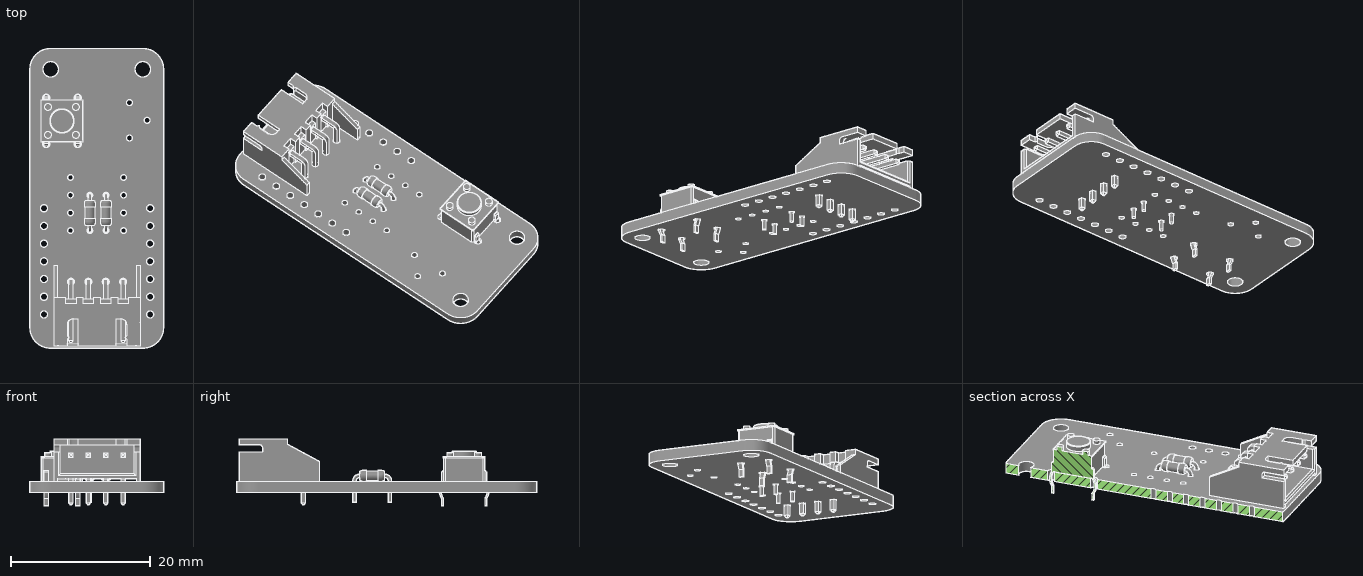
import cadquery as cq
BOARD_WIDTH = 19.2
BOARD_LENGTH = 43.0
BOARD_THICKNESS = 1.6
BOARD_CORNER_RADIUS = 3.0
BOARD_TOP = BOARD_THICKNESS
HOLE_PITCH = 2.55
LAYOUT_CENTRE_X = 0.05

MOUNT_HOLE_DIAMETER = 2.2

HEADER_HOLE_DIAMETER = 1.0
HEADER_HOLE_COUNT = 7
HEADER_ROW_X = 3 * HOLE_PITCH
HEADER_CENTRE_Y = -9.05

CHIP_HOLE_DIAMETER = 0.77
CHIP_HOLE_COUNT = 4
CHIP_ROW_X = 1.5 * HOLE_PITCH
CHIP_CENTRE_Y = -0.8

SENSOR_HOLE_DIAMETER = 0.8
SENSOR_X = 4.7
SENSOR_Y = 11.2

BUTTON_X = -5.0
BUTTON_Y = 11.1
COVER_SIDE = 6.0
BASE_SIDE = 5.95
BUTTON_HEIGHT = 3.55
BASE_CORNER_CHAMFER = 0.25
COVER_THICKNESS = 0.17
PLUNGER_DIAMETER = 3.5
PLUNGER_HEIGHT = 4.4
PLUNGER_CHAMFER = 0.1
POST_DIAMETER = 1.0
POST_HEIGHT = 4.13
POST_SPACING = 4.0
LEG_WIDTH = 0.7
LEG_THICKNESS = 0.3
LEG_OUTER_Y = 3.25
LEG_BOW_Y = 3.6
LEG_TOP = 1.55
LEG_TOP_BEVEL = 0.2
LEG_BOW_DROP = 0.8
LEG_DROP = 1.9
LEG_SPACING = 4.5
LEG_HOLE_DIAMETER = 1.0
LEG_HOLE_Y = 3.3

RESISTOR_XS = (-1.0, 1.35)
RESISTOR_Y = CHIP_CENTRE_Y - HOLE_PITCH / 2
RESISTOR_LEAD_SPACING = 2 * HOLE_PITCH
RESISTOR_LENGTH = 3.55
RESISTOR_CORE_DIAMETER = 1.4
RESISTOR_CAP_DIAMETER = 1.6
RESISTOR_AXIS_HEIGHT = 0.8
RESISTOR_CAP_LENGTH = 0.95
RESISTOR_END_DIAMETER = 1.25
RESISTOR_DOME_LENGTH = 0.45
LEAD_DIAMETER = 0.5
LEAD_BEND_RADIUS = 0.75
LEAD_DROP = 1.4
LEAD_HOLE_DIAMETER = 0.77

SHELL_WIDTH = 12.4
SHELL_HEIGHT = 6.1
SHELL_FRONT_Y = -21.15
SHELL_BACK_Y = -9.65
BLOCK_BACK_Y = -14.2
WING_BACK_HEIGHT = 2.9
WING_SLOPE_TOP = 5.35
WING_THICKNESS = 0.55
UNDERSIDE_CLEARANCE = 0.4
CAVITY_WIDTH = 10.58
CAVITY_FLOOR = 1.1
CAVITY_ROOF = 5.25
CAVITY_BACK_Y = -15.7
MOUTH_CHAMFER = 0.25
SIDE_SLOT_BOTTOM = 4.25
SIDE_SLOT_DEPTH = 3.35
SIDE_SLOT_FILLET = 0.47
ROOF_SLOT_INNER_X = 2.7
ROOF_SLOT_OUTER_X = 4.25
ROOF_SLOT_BACK_Y = -17.3
ROOF_SLOT_FILLET = 0.8
CATCH_Y = -19.95
CATCH_HALF_WIDTH = 0.25
CATCH_HEIGHT = 0.25
NOTCH_WIDTH = 1.55
NOTCH_DEPTH = 0.9
NOTCH_FLOOR = 4.5
RECESS_DEPTH = 0.25
PIN_COUNT = 4
PIN_PITCH = 2.5
PIN_SIDE = 0.65
PIN_HEIGHT = 3.8
PIN_DROP_Y = -11.95
PIN_TIP_Y = -20.7
PIN_BEND_RADIUS = 0.75
PIN_TIP_DROP = 1.75
PIN_TAPER_LENGTH = 0.3
PIN_TIP_SIDE = 0.2
PIN_HOLE_DIAMETER = 0.95


def centred_steps(count, pitch):
    """Positions of equally spaced items, centred on zero."""
    return [(index - (count - 1) / 2) * pitch for index in range(count)]


def box_between(x_range, y_range, z_range):
    """Box given by its two limits along each axis."""
    size = [high - low for low, high in (x_range, y_range, z_range)]
    corner = (x_range[0], y_range[0], z_range[0])
    return cq.Workplane("XY").box(*size, centered=False).translate(corner)


PIN_XS = centred_steps(PIN_COUNT, PIN_PITCH)


def make_board():
    mount_x = BOARD_WIDTH / 2 - BOARD_CORNER_RADIUS
    mount_y = BOARD_LENGTH / 2 - BOARD_CORNER_RADIUS
    mount_points = [(-mount_x, mount_y), (mount_x, mount_y)]
    header_points = [
        (LAYOUT_CENTRE_X + side * HEADER_ROW_X, HEADER_CENTRE_Y + step)
        for side in (-1, 1)
        for step in centred_steps(HEADER_HOLE_COUNT, HOLE_PITCH)
    ]
    chip_points = [
        (LAYOUT_CENTRE_X + side * CHIP_ROW_X, CHIP_CENTRE_Y + step)
        for side in (-1, 1)
        for step in centred_steps(CHIP_HOLE_COUNT, HOLE_PITCH)
    ]
    sensor_points = [
        (SENSOR_X, SENSOR_Y - HOLE_PITCH),
        (SENSOR_X + HOLE_PITCH, SENSOR_Y),
        (SENSOR_X, SENSOR_Y + HOLE_PITCH),
    ]
    leg_points = [
        (BUTTON_X + side * LEG_SPACING / 2, BUTTON_Y + end * LEG_HOLE_Y)
        for side in (-1, 1)
        for end in (-1, 1)
    ]
    lead_points = [
        (x, RESISTOR_Y + end * RESISTOR_LEAD_SPACING / 2)
        for x in RESISTOR_XS
        for end in (-1, 1)
    ]
    pin_points = [(LAYOUT_CENTRE_X + x, PIN_DROP_Y) for x in PIN_XS]

    board = (
        cq.Workplane("XY")
        .rect(BOARD_WIDTH, BOARD_LENGTH)
        .extrude(BOARD_THICKNESS)
        .edges("|Z")
        .fillet(BOARD_CORNER_RADIUS)
    )
    hole_groups = [
        (MOUNT_HOLE_DIAMETER, mount_points),
        (HEADER_HOLE_DIAMETER, header_points),
        (CHIP_HOLE_DIAMETER, chip_points),
        (SENSOR_HOLE_DIAMETER, sensor_points),
        (LEG_HOLE_DIAMETER, leg_points),
        (LEAD_HOLE_DIAMETER, lead_points),
        (PIN_HOLE_DIAMETER, pin_points),
    ]
    for diameter, points in hole_groups:
        drills = cq.Workplane("XY").pushPoints(points).circle(diameter / 2).extrude(BOARD_THICKNESS)
        board = board.cut(drills)
    return board


def make_button_leg():
    """Snap-in leg on the +Y side, bowed outwards inside and just below the board."""
    inner_y = LEG_OUTER_Y - LEG_THICKNESS
    bow_inner_y = LEG_BOW_Y - LEG_THICKNESS
    top = BOARD_TOP + LEG_TOP
    bow_middle = (BOARD_TOP - LEG_BOW_DROP) / 2
    profile = (
        cq.Workplane("YZ")
        .moveTo(inner_y, top)
        .lineTo(LEG_OUTER_Y - LEG_TOP_BEVEL, top)
        .lineTo(LEG_OUTER_Y, top - LEG_TOP_BEVEL)
        .lineTo(LEG_OUTER_Y, BOARD_TOP)
        .threePointArc((LEG_BOW_Y, bow_middle), (LEG_OUTER_Y, -LEG_BOW_DROP))
        .lineTo(LEG_OUTER_Y, -LEG_DROP)
        .lineTo(inner_y, -LEG_DROP)
        .lineTo(inner_y, -LEG_BOW_DROP)
        .threePointArc((bow_inner_y, bow_middle), (inner_y, BOARD_TOP))
        .close()
    )
    return profile.extrude(LEG_WIDTH / 2, both=True)


def make_button():
    base_height = BUTTON_HEIGHT - COVER_THICKNESS
    base = (
        cq.Workplane("XY", origin=(0, 0, BOARD_TOP))
        .rect(BASE_SIDE, BASE_SIDE)
        .extrude(base_height)
        .edges("|Z")
        .chamfer(BASE_CORNER_CHAMFER)
    )
    cover = (
        cq.Workplane("XY", origin=(0, 0, BOARD_TOP + base_height))
        .rect(COVER_SIDE, COVER_SIDE)
        .extrude(COVER_THICKNESS)
    )
    cover_top = cq.Workplane("XY", origin=(0, 0, BOARD_TOP + BUTTON_HEIGHT))
    plunger = (
        cover_top.circle(PLUNGER_DIAMETER / 2)
        .extrude(PLUNGER_HEIGHT - BUTTON_HEIGHT)
        .faces(">Z")
        .chamfer(PLUNGER_CHAMFER)
    )
    posts = (
        cover_top.rect(POST_SPACING, POST_SPACING, forConstruction=True)
        .vertices()
        .circle(POST_DIAMETER / 2)
        .extrude(POST_HEIGHT - BUTTON_HEIGHT)
    )
    button = base.union(cover).union(plunger).union(posts)
    for turn in (0, 180):
        leg = make_button_leg().rotate((0, 0, 0), (0, 0, 1), turn)
        for side in (-1, 1):
            button = button.union(leg.translate((side * LEG_SPACING / 2, 0, 0)))
    return button.translate((BUTTON_X, BUTTON_Y, 0))


def make_resistor_body():
    """Core with a larger domed cap at each end, turned about Y."""
    half_length = RESISTOR_LENGTH / 2
    core_radius = RESISTOR_CORE_DIAMETER / 2
    cap_radius = RESISTOR_CAP_DIAMETER / 2
    end_radius = RESISTOR_END_DIAMETER / 2
    half_body = (
        cq.Workplane("XY")
        .lineTo(core_radius, 0)
        .lineTo(core_radius, half_length - RESISTOR_CAP_LENGTH)
        .lineTo(cap_radius, half_length - RESISTOR_CAP_LENGTH)
        .lineTo(cap_radius, half_length - RESISTOR_DOME_LENGTH)
        .tangentArcPoint((end_radius, half_length), relative=False)
        .lineTo(0, half_length)
        .close()
        .revolve(360, (0, 0, 0), (0, 1, 0))
    )
    return half_body.union(half_body.mirror("XZ"))


def make_resistor_lead():
    """Wire that runs along the axis and bends down at both ends."""
    half_span = RESISTOR_LEAD_SPACING / 2
    bottom = -LEAD_DROP - BOARD_TOP - RESISTOR_AXIS_HEIGHT
    bend_start_y = half_span - LEAD_BEND_RADIUS
    path = (
        cq.Workplane("YZ")
        .moveTo(-half_span, bottom)
        .lineTo(-half_span, -LEAD_BEND_RADIUS)
        .tangentArcPoint((-bend_start_y, 0), relative=False)
        .lineTo(bend_start_y, 0)
        .tangentArcPoint((half_span, -LEAD_BEND_RADIUS), relative=False)
        .lineTo(half_span, bottom)
    )
    return cq.Workplane("XY", origin=(0, -half_span, bottom)).circle(LEAD_DIAMETER / 2).sweep(path)


def make_resistor(x):
    resistor = make_resistor_body().union(make_resistor_lead())
    return resistor.translate((x, RESISTOR_Y, BOARD_TOP + RESISTOR_AXIS_HEIGHT))


def make_shell_blank():
    """Side profile with the sloping wings, opened between the wings and underneath."""
    outline = [
        (SHELL_FRONT_Y, 0),
        (SHELL_BACK_Y, 0),
        (SHELL_BACK_Y, WING_BACK_HEIGHT),
        (BLOCK_BACK_Y, WING_SLOPE_TOP),
        (BLOCK_BACK_Y, SHELL_HEIGHT),
        (SHELL_FRONT_Y, SHELL_HEIGHT),
    ]
    blank = cq.Workplane("YZ").polyline(outline).close().extrude(SHELL_WIDTH / 2, both=True)
    inner_x = SHELL_WIDTH / 2 - WING_THICKNESS
    wing_gap = box_between((-inner_x, inner_x), (BLOCK_BACK_Y, SHELL_BACK_Y), (0, SHELL_HEIGHT))
    foot_gap = box_between(
        (-inner_x, inner_x), (SHELL_FRONT_Y, BLOCK_BACK_Y), (0, UNDERSIDE_CLEARANCE)
    )
    return blank.cut(wing_gap).cut(foot_gap)


def make_cavity():
    """Plug cavity, flared at the mouth on the floor and both sides."""
    half = CAVITY_WIDTH / 2
    cavity = box_between((-half, half), (SHELL_FRONT_Y, CAVITY_BACK_Y), (CAVITY_FLOOR, CAVITY_ROOF))
    flare_half = half + MOUTH_CHAMFER
    flare_floor = CAVITY_FLOOR - MOUTH_CHAMFER
    mouth = [
        (-flare_half, flare_floor),
        (flare_half, flare_floor),
        (flare_half, CAVITY_ROOF),
        (-flare_half, CAVITY_ROOF),
    ]
    throat = [(-half, CAVITY_FLOOR), (half, CAVITY_FLOOR), (half, CAVITY_ROOF), (-half, CAVITY_ROOF)]
    flare = (
        cq.Workplane("XZ", origin=(0, SHELL_FRONT_Y, 0))
        .polyline(mouth)
        .close()
        .workplane(offset=-MOUTH_CHAMFER)
        .polyline(throat)
        .close()
        .loft(ruled=True)
    )
    return cavity.union(flare)


def make_side_slots():
    """Slot through both side walls, directly below the roof."""
    half = SHELL_WIDTH / 2
    slot = box_between(
        (-half, half),
        (SHELL_FRONT_Y, SHELL_FRONT_Y + SIDE_SLOT_DEPTH),
        (SIDE_SLOT_BOTTOM, CAVITY_ROOF),
    )
    return slot.edges(">Y and >Z").fillet(SIDE_SLOT_FILLET)


def make_roof_slot():
    """Slot in the roof on the +X side, open to the front, with a small catch on its outer wall."""
    slot = box_between(
        (ROOF_SLOT_INNER_X, ROOF_SLOT_OUTER_X),
        (SHELL_FRONT_Y, ROOF_SLOT_BACK_Y),
        (CAVITY_ROOF, SHELL_HEIGHT),
    )
    catch = (
        cq.Workplane("XY", origin=(ROOF_SLOT_OUTER_X, CATCH_Y, CAVITY_ROOF))
        .polyline([(0, -CATCH_HALF_WIDTH), (-CATCH_HEIGHT, 0), (0, CATCH_HALF_WIDTH)])
        .close()
        .extrude(SHELL_HEIGHT - CAVITY_ROOF)
    )
    return slot.edges(">X and >Y").fillet(ROOF_SLOT_FILLET).cut(catch)


def make_notch(x):
    """Stepped relief in the rear face, above and around one pin."""
    sides = (x - NOTCH_WIDTH / 2, x + NOTCH_WIDTH / 2)
    upper = box_between(sides, (BLOCK_BACK_Y - NOTCH_DEPTH, BLOCK_BACK_Y), (NOTCH_FLOOR, SHELL_HEIGHT))
    lower = box_between(
        sides, (BLOCK_BACK_Y - RECESS_DEPTH, BLOCK_BACK_Y), (UNDERSIDE_CLEARANCE, NOTCH_FLOOR)
    )
    return upper.union(lower)


def make_pin_tip():
    """Tapered point rising from Z = 0."""
    return (
        cq.Workplane("XY")
        .rect(PIN_SIDE, PIN_SIDE)
        .workplane(offset=PIN_TAPER_LENGTH)
        .rect(PIN_TIP_SIDE, PIN_TIP_SIDE)
        .loft(ruled=True)
    )


def make_pin(x):
    """Square pin: level through the shell, then bent down through the board."""
    half = PIN_SIDE / 2
    level = BOARD_TOP + PIN_HEIGHT
    level_end_y = PIN_TIP_Y + PIN_TAPER_LENGTH
    drop_end = PIN_TAPER_LENGTH - PIN_TIP_DROP
    along = box_between(
        (-half, half), (level_end_y, PIN_DROP_Y + half), (level - half, level + half)
    )
    down = box_between(
        (-half, half), (PIN_DROP_Y - half, PIN_DROP_Y + half), (drop_end, level + half)
    )
    rod = along.union(down).edges(">Y and >Z").fillet(PIN_BEND_RADIUS)
    level_tip = make_pin_tip().rotate((0, 0, 0), (1, 0, 0), 90).translate((0, level_end_y, level))
    drop_tip = make_pin_tip().rotate((0, 0, 0), (1, 0, 0), 180).translate((0, PIN_DROP_Y, drop_end))
    return rod.union(level_tip).union(drop_tip).translate((x, 0, 0))


def make_connector():
    shell = make_shell_blank().cut(make_cavity()).cut(make_side_slots())
    roof_slot = make_roof_slot()
    shell = shell.cut(roof_slot).cut(roof_slot.mirror("YZ"))
    for x in PIN_XS:
        shell = shell.cut(make_notch(x))
    connector = shell.translate((0, 0, BOARD_TOP))
    for x in PIN_XS:
        connector = connector.union(make_pin(x))
    return connector.translate((LAYOUT_CENTRE_X, 0, 0))


board = make_board()
button = make_button()
resistors = [make_resistor(x) for x in RESISTOR_XS]
connector = make_connector()

result = cq.Compound.makeCompound(
    [board.val(), button.val(), *[resistor.val() for resistor in resistors], connector.val()]
)